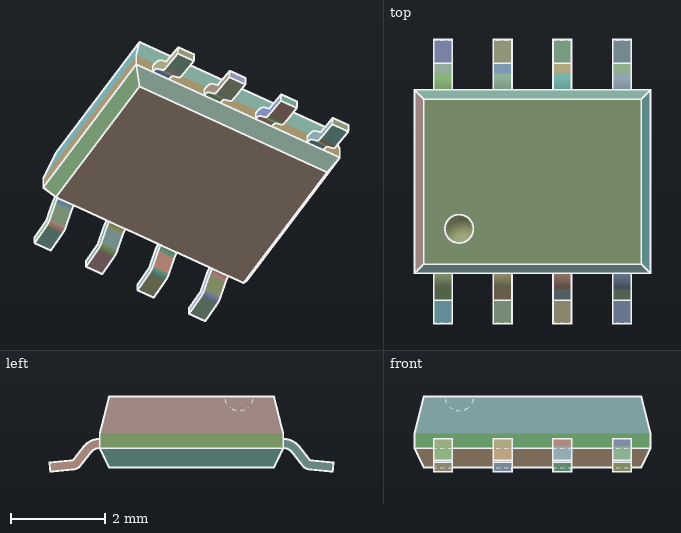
import cadquery as cq
import math

body_length = 5.02
body_width = 3.9
taper_inset = 0.2
lower_height = 0.41
belt_height = 0.31
upper_height = 0.79
standoff = 0.09
belt_bottom = standoff + lower_height
belt_top = belt_bottom + belt_height
body_top = belt_top + upper_height

lead_span = 6.04
lead_width = 0.4
lead_thickness = 0.2
lead_pitch = 1.27
leads_per_side = 4
lead_top = belt_bottom + lead_thickness
shoulder_radius = 0.435
slope_angle = math.radians(52)
foot_angle = math.radians(5.5)
root_depth = 0.12

dimple_radius = 0.3
dimple_x = -1.56
dimple_y = -1.0


def tapered_half(base_z, height):
    """Frustum from the belt outline to the inset outline; a negative height points down."""
    return (
        cq.Workplane("XY").workplane(offset=base_z)
        .rect(body_length, body_width)
        .workplane(offset=height)
        .rect(body_length - 2 * taper_inset, body_width - 2 * taper_inset)
        .loft(ruled=True, combine=True)
    )


def make_body():
    belt = (
        cq.Workplane("XY").workplane(offset=belt_bottom)
        .rect(body_length, body_width)
        .extrude(belt_height)
    )
    upper = tapered_half(belt_top, upper_height)
    lower = tapered_half(belt_bottom, -lower_height)
    return belt.union(upper).union(lower)


def polar(center, radius, angle):
    """Point on a circle, with the angle measured from +Z towards +Y."""
    return (center[0] + radius * math.sin(angle), center[1] + radius * math.cos(angle))


def make_lead():
    """Lead on the +Y side, centred on X = 0."""
    face_y = body_width / 2
    root_y = face_y - root_depth
    shoulder = (face_y, lead_top - shoulder_radius)
    inner_radius = shoulder_radius - lead_thickness
    slope_start = polar(shoulder, shoulder_radius, slope_angle)

    tip_top = (lead_span / 2, lead_thickness * math.cos(foot_angle))
    tip_bottom = polar(tip_top, -lead_thickness, foot_angle)

    foot_line_z = tip_top[1] + (tip_top[0] - slope_start[0]) * math.tan(foot_angle)
    slope_run = (slope_start[1] - foot_line_z) / (math.tan(slope_angle) - math.tan(foot_angle))
    corner = (slope_start[0] + slope_run, slope_start[1] - slope_run * math.tan(slope_angle))

    profile = (
        cq.Workplane("YZ").workplane(offset=-lead_width / 2)
        .moveTo(root_y, lead_top)
        .lineTo(face_y, lead_top)
        .threePointArc(polar(shoulder, shoulder_radius, slope_angle / 2), slope_start)
        .lineTo(*corner)
        .lineTo(*tip_top)
        .lineTo(*tip_bottom)
        .lineTo(*polar(corner, -lead_thickness, foot_angle))
        .threePointArc(
            polar(corner, -lead_thickness, (foot_angle + slope_angle) / 2),
            polar(corner, -lead_thickness, slope_angle),
        )
        .lineTo(*polar(shoulder, inner_radius, slope_angle))
        .threePointArc(polar(shoulder, inner_radius, slope_angle / 2), (face_y, belt_bottom))
        .lineTo(root_y, belt_bottom)
        .close()
    )
    return profile.extrude(lead_width)


result = make_body()

lead = make_lead()
opposite_lead = lead.mirror("XZ")
for index in range(leads_per_side):
    lead_x = (index - (leads_per_side - 1) / 2) * lead_pitch
    result = result.union(lead.translate((lead_x, 0, 0)))
    result = result.union(opposite_lead.translate((lead_x, 0, 0)))

dimple = cq.Workplane("XY").sphere(dimple_radius).translate((dimple_x, dimple_y, body_top))
result = result.cut(dimple)